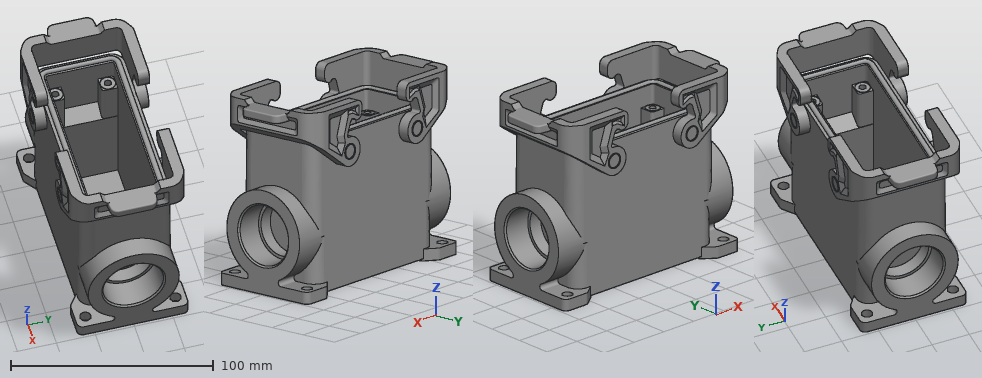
import cadquery as cq
import math

RIM_HALF_X = 47.9
RIM_HALF_Y = 23.0
RIM_Z = 79.7
BODY_BOTTOM_Z = 1.2
BODY_CORNER_RADIUS = 6.7
BODY_DRAFT = 0.45
ENTRY_Z = 30.3
END_SETBACK = 2.1

CAVITY_HALF_X = 42.5
CAVITY_HALF_Y = 17.5
CAVITY_CORNER_RADIUS = 1.5
PILLAR_CORNER_RADIUS = 1.5
FLOOR_Z = 5.0
ENTRY_BLOCK_X = 34.3
ENTRY_BLOCK_Z = 47.1
ENTRY_ROOF_RISE = 4.2
PILLAR_TOP_Z = 69.0
PILLAR_SIZE = 8.0
SCREW_COLLAR_RADIUS = 3.8
SCREW_COLLAR_HEIGHT = 0.4
SCREW_HOLE_RADIUS = 1.7
SCREW_HOLE_DEPTH = 14.9

BEAD_HALF_WIDTH = 1.5
BEAD_HEIGHT = 1.2
BEAD_OVERLAP = 0.2
BEAD_HALF_X = 45.1
BEAD_HALF_Y = 19.7
BEAD_CORNER_RADIUS = 4.0

END_X = 58.5
ENTRY_RADIUS = 23.3
ENTRY_INNER_X = 38.5
BORE_RADIUS = 15.5
BORE_DEPTH = 15.1
BORE_CHAMFER = 0.9
KNOCKOUT_RADIUS = 13.9
KNOCKOUT_DEPTH = 22.3
NECK_FILLET = 1.7

FOOT_HEIGHT = 6.2
FOOT_HALF_Y = 28.4
FOOT_INNER_X = 36.5
FOOT_SHOULDER_X = 43.6
FOOT_CORNER_RADIUS = 3.0
FOOT_HOLE_X = 52.3
FOOT_HOLE_Y = 23.1
FOOT_HOLE_RADIUS = 2.7

LEVER_TOP_Z = 96.8
LEVER_OUTER_X = 55.2
LEVER_INNER_X = 49.7
LEVER_HALF_Y = 29.0
LEVER_INNER_Y = 23.2
LEVER_CHAMFER_X = 7.9
LEVER_CHAMFER_Y = 4.5
LEVER_BACK_RADIUS = 7.5
LEVER_SIDE_RADIUS = 6.0
LEVER_INNER_RADIUS = 2.9
LEVER_BACK_BOTTOM_Z = 83.1
PIVOT_X = 26.0
PIVOT_Z = 71.8
HUB_RADIUS = 7.6
PIN_RADIUS = 3.6
PIN_GROOVE_RADIUS = 4.0
PIN_GROOVE_DEPTH = 0.4
PIN_EMBED_Y = 21.1

HOOK_TIP_X = 17.1
HOOK_RADIUS = 3.6
HOOK_BOTTOM_Z = 86.9
THROAT_X = 23.9
THROAT_Z = 85.8
THROAT_RADIUS = 2.4
NOTCH_X = 27.0
NOTCH_Z = 80.5
NOTCH_RADIUS = 1.1
NECK_ANGLE = 160
LIP_ANGLE = 60

ARM_POCKET = [(-42.7, 94.4), (-42.7, 77.1), (-32.7, 70.9), (-29.9, 77.1), (-30.9, 81.0), (-26.5, 94.4)]
TIP_POCKET = [(-28.3, 94.4), (-27.8, 91.1), (-24.3, 91.1), (-19.6, 88.8), (-19.6, 94.4)]
POCKET_DEPTH = 2.0
POCKET_WALL_RUN = 3.1
TIP_WALL_RUN = 1.4
POCKET_CORNER_RADIUS = 2.4
BACK_RECESS_HALF_Y = 19.1
BACK_RECESS_BOTTOM_Z = 84.5
BACK_RECESS_TOP_Z = 93.2
BACK_RECESS_RUN = 2.2
BACK_RECESS_DEPTH = 1.6

TAB_END_X = 62.0
TAB_END_HALF_Y = 11.4
TAB_ROOT_HALF_Y = 13.1
TAB_TOP_Z = 94.6
TAB_BOTTOM_Z = 90.4
TAB_CORNER_RADIUS = 3.7
TAB_EDGE_FILLET = 0.7
TAB_GAP_BOTTOM_HALF_Y = 12.6
TAB_GAP_TOP_HALF_Y = 14.9
TAB_GAP_FILLET = 1.2


def both_ends(part):
    """Join a -X part with its mirror image at +X."""
    return part.union(part.mirror("YZ"))


def point_on_circle(centre_x, centre_z, radius, degrees):
    angle = math.radians(degrees)
    return centre_x + radius * math.cos(angle), centre_z + radius * math.sin(angle)


def inset_polygon(points, distance):
    """Move every side of a counter-clockwise polygon inwards by a distance."""
    inset = []
    for i, (x, z) in enumerate(points):
        before = points[i - 1]
        after = points[(i + 1) % len(points)]
        length_in = math.hypot(x - before[0], z - before[1])
        length_out = math.hypot(after[0] - x, after[1] - z)
        in_x, in_z = (x - before[0]) / length_in, (z - before[1]) / length_in
        out_x, out_z = (after[0] - x) / length_out, (after[1] - z) / length_out
        turn = 1 + in_x * out_x + in_z * out_z
        inset.append((x - distance * (in_z + out_z) / turn, z + distance * (in_x + out_x) / turn))
    return inset


def sloped_pocket(plane, points, run, depth):
    """Pocket cutter whose walls lean inwards by `run` over its depth."""
    return (
        cq.Workplane(plane)
        .polyline(points).close()
        .workplane(offset=-depth)
        .polyline(inset_polygon(points, run)).close()
        .loft(ruled=True)
    )


def housing_section(half_x, top_z, bottom_z):
    """Drafted rounded block, sized for its draft measured from the rim."""
    growth = (RIM_Z - top_z) * math.tan(math.radians(BODY_DRAFT))
    return (
        cq.Workplane("XY", origin=(0, 0, top_z))
        .sketch()
        .rect(2 * (half_x + growth), 2 * (RIM_HALF_Y + growth))
        .vertices().fillet(BODY_CORNER_RADIUS)
        .finalize()
        .extrude(bottom_z - top_z, taper=-BODY_DRAFT)
    )


def bead():
    """Rounded bead that runs around the rim with a crest line along its top."""
    straight_y = BEAD_HALF_Y - BEAD_CORNER_RADIUS
    straight_x = BEAD_HALF_X - BEAD_CORNER_RADIUS
    diagonal = BEAD_CORNER_RADIUS * math.sqrt(0.5)
    diagonal_run = BEAD_HALF_WIDTH * math.sqrt(0.5)
    diagonal_rise = BEAD_HEIGHT * math.sqrt(0.5)
    path = cq.Workplane("XY", origin=(0, 0, RIM_Z)).moveTo(0, -BEAD_HALF_Y)
    path = (
        path.lineTo(straight_x, -BEAD_HALF_Y)
        .threePointArc((straight_x + diagonal, -straight_y - diagonal), (BEAD_HALF_X, -straight_y))
        .lineTo(BEAD_HALF_X, straight_y)
        .threePointArc((straight_x + diagonal, straight_y + diagonal), (straight_x, BEAD_HALF_Y))
        .lineTo(-straight_x, BEAD_HALF_Y)
        .threePointArc((-straight_x - diagonal, straight_y + diagonal), (-BEAD_HALF_X, straight_y))
        .lineTo(-BEAD_HALF_X, -straight_y)
        .threePointArc((-straight_x - diagonal, -straight_y - diagonal), (-straight_x, -BEAD_HALF_Y))
        .close()
    )
    return (
        cq.Workplane("YZ", origin=(0, -BEAD_HALF_Y, RIM_Z))
        .moveTo(-BEAD_HALF_WIDTH, -BEAD_OVERLAP)
        .lineTo(-BEAD_HALF_WIDTH, 0)
        .threePointArc((-diagonal_run, diagonal_rise), (0, BEAD_HEIGHT))
        .threePointArc((diagonal_run, diagonal_rise), (BEAD_HALF_WIDTH, 0))
        .lineTo(BEAD_HALF_WIDTH, -BEAD_OVERLAP)
        .close()
        .sweep(path)
    )


def cavity():
    """Inner space, less the blocks around the cable entries and the four screw pillars."""
    hollow = (
        cq.Workplane("XY", origin=(0, 0, FLOOR_Z))
        .rect(2 * CAVITY_HALF_X, 2 * CAVITY_HALF_Y)
        .extrude(RIM_Z + BEAD_HEIGHT - FLOOR_Z)
        .edges("|Z").fillet(CAVITY_CORNER_RADIUS)
    )
    entry_block = (
        cq.Workplane("XZ", origin=(0, CAVITY_HALF_Y, 0))
        .polyline([
            (-CAVITY_HALF_X, FLOOR_Z), (-ENTRY_BLOCK_X, FLOOR_Z), (-ENTRY_BLOCK_X, ENTRY_BLOCK_Z),
            (-CAVITY_HALF_X, ENTRY_BLOCK_Z + ENTRY_ROOF_RISE),
        ]).close()
        .extrude(2 * CAVITY_HALF_Y)
    )
    hollow = hollow.cut(both_ends(entry_block))
    centre_x = CAVITY_HALF_X - PILLAR_SIZE / 2
    centre_y = CAVITY_HALF_Y - PILLAR_SIZE / 2
    centres = [(sx * centre_x, sy * centre_y) for sx in (-1, 1) for sy in (-1, 1)]
    inner_corners = cq.selectors.BoxSelector(
        (-centre_x, -centre_y, FLOOR_Z), (centre_x, centre_y, PILLAR_TOP_Z))
    pillars = (
        cq.Workplane("XY", origin=(0, 0, FLOOR_Z))
        .pushPoints(centres)
        .rect(PILLAR_SIZE, PILLAR_SIZE)
        .extrude(PILLAR_TOP_Z - FLOOR_Z)
        .edges("|Z").edges(inner_corners).fillet(PILLAR_CORNER_RADIUS)
        .faces(">Z").workplane(origin=(0, 0, PILLAR_TOP_Z))
        .pushPoints(centres).circle(SCREW_COLLAR_RADIUS).extrude(SCREW_COLLAR_HEIGHT)
        .faces(">Z").workplane(origin=(0, 0, PILLAR_TOP_Z + SCREW_COLLAR_HEIGHT))
        .pushPoints(centres).hole(2 * SCREW_HOLE_RADIUS, SCREW_HOLE_DEPTH)
    )
    return hollow.cut(pillars)


def cable_entry():
    """Round cable entry at the -X end with a neck down to the foot."""
    fillet_z = FOOT_HEIGHT + NECK_FILLET
    fillet_y = math.sqrt((ENTRY_RADIUS + NECK_FILLET) ** 2 - (ENTRY_Z - fillet_z) ** 2)
    length = END_X - ENTRY_INNER_X
    start = cq.Workplane("YZ", origin=(-END_X, 0, 0))
    neck = (
        start
        .polyline([
            (-fillet_y, 0), (fillet_y, 0), (fillet_y, fillet_z), (0, ENTRY_Z), (-fillet_y, fillet_z),
        ]).close()
        .extrude(length)
    )
    gaps = (
        start
        .pushPoints([(-fillet_y, fillet_z), (fillet_y, fillet_z)])
        .circle(NECK_FILLET).extrude(length)
    )
    drum = start.center(0, ENTRY_Z).circle(ENTRY_RADIUS).extrude(length)
    return drum.union(neck.cut(gaps))


def entry_bore():
    """Blind, stepped bore with a chamfered mouth at the -X end."""
    start = cq.Workplane("YZ", origin=(-END_X, 0, ENTRY_Z))
    bore = start.circle(BORE_RADIUS).extrude(BORE_DEPTH)
    knockout = start.circle(KNOCKOUT_RADIUS).extrude(KNOCKOUT_DEPTH)
    mouth = (
        start.circle(BORE_RADIUS + BORE_CHAMFER)
        .workplane(offset=BORE_CHAMFER).circle(BORE_RADIUS).loft()
    )
    return bore.union(knockout).union(mouth)


def foot():
    """Foot plate at the -X end with two screw holes."""
    plate = (
        cq.Workplane("XY")
        .polyline([
            (-END_X, -FOOT_HALF_Y), (-FOOT_SHOULDER_X, -FOOT_HALF_Y), (-FOOT_INNER_X, -RIM_HALF_Y),
            (-FOOT_INNER_X, RIM_HALF_Y), (-FOOT_SHOULDER_X, FOOT_HALF_Y), (-END_X, FOOT_HALF_Y),
        ]).close()
        .extrude(FOOT_HEIGHT)
        .edges("|Z and (not >X)").fillet(FOOT_CORNER_RADIUS)
    )
    holes = (
        cq.Workplane("XY")
        .pushPoints([(-FOOT_HOLE_X, -FOOT_HOLE_Y), (-FOOT_HOLE_X, FOOT_HOLE_Y)])
        .circle(FOOT_HOLE_RADIUS).extrude(FOOT_HEIGHT)
    )
    return plate.cut(holes)


def lever_bow():
    """Plan shape of the lever: a U open towards the middle of the housing."""
    outer = (
        cq.Workplane("XY")
        .polyline([
            (0, -LEVER_HALF_Y), (0, LEVER_HALF_Y),
            (-LEVER_OUTER_X + LEVER_CHAMFER_X, LEVER_HALF_Y),
            (-LEVER_OUTER_X, LEVER_HALF_Y - LEVER_CHAMFER_Y),
            (-LEVER_OUTER_X, -LEVER_HALF_Y + LEVER_CHAMFER_Y),
            (-LEVER_OUTER_X + LEVER_CHAMFER_X, -LEVER_HALF_Y),
        ]).close()
        .extrude(LEVER_TOP_Z)
        .edges("|Z and <X").fillet(LEVER_BACK_RADIUS)
        .edges("|Z and (>Y or <Y) and (not >X)").fillet(LEVER_SIDE_RADIUS)
    )
    inner = (
        cq.Workplane("XY")
        .rect(2 * LEVER_INNER_X, 2 * LEVER_INNER_Y).extrude(LEVER_TOP_Z)
        .edges("|Z").fillet(LEVER_INNER_RADIUS)
    )
    return outer.cut(inner)


def lever_profile():
    """Side shape of the lever: back plate, hook and hub."""
    across = LEVER_OUTER_X - PIVOT_X
    rise = LEVER_BACK_BOTTOM_Z - PIVOT_Z
    tangent_angle = math.atan2(rise, -across) + math.acos(HUB_RADIUS / math.hypot(across, rise))
    hub_tangent = point_on_circle(-PIVOT_X, PIVOT_Z, HUB_RADIUS, math.degrees(tangent_angle))
    hub_top = (-PIVOT_X, PIVOT_Z + HUB_RADIUS)
    throat_start = point_on_circle(-THROAT_X, THROAT_Z, THROAT_RADIUS, NECK_ANGLE)
    throat_end = point_on_circle(-THROAT_X, THROAT_Z, THROAT_RADIUS, LIP_ANGLE)
    notch_start = point_on_circle(-NOTCH_X, NOTCH_Z, NOTCH_RADIUS, NECK_ANGLE)
    hook_x = -HOOK_TIP_X - HOOK_RADIUS
    diagonal = HOOK_RADIUS * math.sqrt(0.5)
    upper_z = LEVER_TOP_Z - HOOK_RADIUS
    lower_z = HOOK_BOTTOM_Z + HOOK_RADIUS
    hook_start = point_on_circle(hook_x, lower_z, HOOK_RADIUS, 180 + LIP_ANGLE)
    return (
        cq.Workplane("XZ", origin=(0, LEVER_HALF_Y, 0))
        .moveTo(-LEVER_OUTER_X, LEVER_TOP_Z)
        .lineTo(-LEVER_OUTER_X, LEVER_BACK_BOTTOM_Z)
        .lineTo(*hub_tangent)
        .threePointArc((-PIVOT_X + HUB_RADIUS, PIVOT_Z), hub_top)
        .lineTo(-NOTCH_X, NOTCH_Z - NOTCH_RADIUS)
        .threePointArc((-NOTCH_X - NOTCH_RADIUS, NOTCH_Z), notch_start)
        .lineTo(*throat_start)
        .threePointArc((-THROAT_X, THROAT_Z + THROAT_RADIUS), throat_end)
        .lineTo(*hook_start)
        .threePointArc((hook_x + diagonal, lower_z - diagonal), (-HOOK_TIP_X, lower_z))
        .lineTo(-HOOK_TIP_X, upper_z)
        .threePointArc((hook_x + diagonal, upper_z + diagonal), (hook_x, LEVER_TOP_Z))
        .close()
        .extrude(2 * LEVER_HALF_Y)
    )


def lever_pockets():
    """Sloped pockets on both outer sides of the lever, in the arm and in the hook tip."""
    side = cq.Plane(origin=(0, -LEVER_HALF_Y, 0), xDir=(1, 0, 0), normal=(0, -1, 0))
    arm_pocket = (
        sloped_pocket(side, ARM_POCKET, POCKET_WALL_RUN, POCKET_DEPTH)
        .edges("not #Y").edges("<X").fillet(POCKET_CORNER_RADIUS)
    )
    tip_depth = POCKET_DEPTH * TIP_WALL_RUN / POCKET_WALL_RUN
    pockets = arm_pocket.union(sloped_pocket(side, TIP_POCKET, TIP_WALL_RUN, tip_depth))
    return pockets.union(pockets.mirror("XZ"))


def back_recess():
    """Sloped recess in the back plate of the lever, behind the tab."""
    back = cq.Plane(origin=(-LEVER_OUTER_X, 0, 0), xDir=(0, -1, 0), normal=(-1, 0, 0))
    outline = [
        (-BACK_RECESS_HALF_Y, BACK_RECESS_BOTTOM_Z), (BACK_RECESS_HALF_Y, BACK_RECESS_BOTTOM_Z),
        (BACK_RECESS_HALF_Y, BACK_RECESS_TOP_Z), (-BACK_RECESS_HALF_Y, BACK_RECESS_TOP_Z),
    ]
    recess = sloped_pocket(back, outline, BACK_RECESS_RUN, BACK_RECESS_DEPTH)
    return recess.edges("not #X").fillet(POCKET_CORNER_RADIUS)


def tab():
    """Finger tab on the back plate of the lever."""
    return (
        cq.Workplane("XY", origin=(0, 0, TAB_BOTTOM_Z))
        .polyline([
            (-LEVER_INNER_X, -TAB_ROOT_HALF_Y), (-LEVER_INNER_X, TAB_ROOT_HALF_Y),
            (-TAB_END_X, TAB_END_HALF_Y), (-TAB_END_X, -TAB_END_HALF_Y),
        ]).close()
        .extrude(TAB_TOP_Z - TAB_BOTTOM_Z)
        .edges("|Z and <X").fillet(TAB_CORNER_RADIUS)
        .edges("#Z").edges("not >X").fillet(TAB_EDGE_FILLET)
    )


def lever():
    """Complete -X lever, with the top of its back plate lowered at the tab."""
    gap = (
        cq.Workplane("YZ", origin=(-LEVER_OUTER_X, 0, 0))
        .polyline([
            (-TAB_GAP_BOTTOM_HALF_Y, TAB_TOP_Z), (TAB_GAP_BOTTOM_HALF_Y, TAB_TOP_Z),
            (TAB_GAP_TOP_HALF_Y, LEVER_TOP_Z), (-TAB_GAP_TOP_HALF_Y, LEVER_TOP_Z),
        ]).close()
        .extrude(LEVER_OUTER_X - LEVER_INNER_X)
        .edges("|X and <Z").fillet(TAB_GAP_FILLET)
    )
    frame = lever_bow().intersect(lever_profile())
    return frame.cut(gap).cut(lever_pockets()).cut(back_recess()).union(tab())


def add_pivots(shape):
    """Join the lever to the housing with a grooved pin on each side."""
    for side in (-1, 1):
        face = cq.Workplane(cq.Plane(
            origin=(-PIVOT_X, side * LEVER_HALF_Y, PIVOT_Z), xDir=(1, 0, 0), normal=(0, side, 0)))
        pin = face.circle(PIN_GROOVE_RADIUS).extrude(PIN_EMBED_Y - LEVER_HALF_Y)
        groove = face.circle(PIN_GROOVE_RADIUS).circle(PIN_RADIUS).extrude(-PIN_GROOVE_DEPTH)
        shape = shape.union(pin).cut(groove)
    return shape


body = housing_section(RIM_HALF_X, RIM_Z, ENTRY_Z)
body = body.union(housing_section(RIM_HALF_X - END_SETBACK, ENTRY_Z, BODY_BOTTOM_Z))
body = body.union(bead())
body = body.union(both_ends(cable_entry())).union(both_ends(foot()))
body = body.cut(cavity()).cut(both_ends(entry_bore()))
result = body.union(both_ends(add_pivots(lever())))